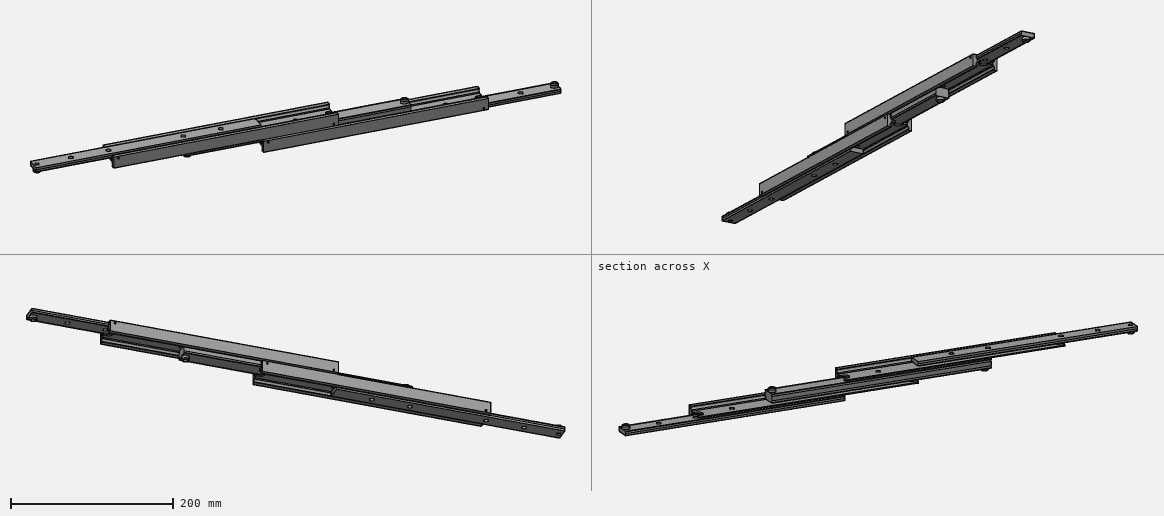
import cadquery as cq
import math


overall_length = 700
overall_height = 36.0
step_count = 7
pull_step = overall_length / step_count
steps_per_member = 3
member_length = steps_per_member * pull_step
hole_pitch = pull_step / 2
channel_level = overall_height / 4

channel_width = 35.0
channel_height = 15.5
channel_opening = 23.0
web_thickness = 2.0

rail_width = 19.0
rail_thickness = 5.95

ball_radius = 2.0
race_half_spacing = 11.0
race_rise = 5.0
outer_race_level = channel_level + race_rise
middle_race_level = channel_level - race_rise

mounting_hole_diameter = 6.0
wall_hole_diameter = 2.0
wall_hole_inset = 6.0
notch_width = 12.0
notch_straight = 4.0
stop_radius = 5.0
stop_height = 5.0
stop_chamfer = 1.5
bore_radius = 2.5
stop_bore_depth = 4.0
back_bore_depth = 2.0
drill_point_angle = 118
point_height = bore_radius / math.tan(math.radians(drill_point_angle / 2))


def block(width, height, level):
    """Full-length bar centred on the slide's centre line at the given height."""
    return cq.Workplane("XY").box(width, member_length, height).translate((0, 0, level))


def ball_races(levels):
    """Round bars along Y whose removal leaves a race on each side at each height."""
    centers = [(side * race_half_spacing, level) for side in (-1, 1) for level in levels]
    return cq.Workplane("XZ").pushPoints(centers).circle(ball_radius).extrude(member_length / 2, both=True)


def vertical_holes(positions):
    """Mounting-hole cutters at the given places along the centre line."""
    points = [(0, y) for y in positions]
    return (
        cq.Workplane("XY").pushPoints(points).circle(mounting_hole_diameter / 2)
        .extrude(overall_height, both=True)
    )


def drilled_bore(depth):
    """Blind-bore cutter that enters downward at z = 0 and ends in a drill point."""
    return (
        cq.Workplane("XZ").lineTo(bore_radius, 0).lineTo(bore_radius, -depth)
        .lineTo(0, -depth - point_height).close().revolve(360, (0, 0), (0, 1))
    )


def upside_down(shape):
    """Half turn about X, which swaps top with bottom and +Y with -Y."""
    return shape.rotate((0, 0, 0), (1, 0, 0), 180)


def add_stop(rail, bottom_level, top_level):
    """Round stop on the rail's upper face at its +Y end, with bores down from its top and up from below."""
    y = member_length / 2 - stop_radius
    stop = cq.Workplane("XY").circle(stop_radius).extrude(stop_height).faces(">Z").chamfer(stop_chamfer)
    stop_bore = drilled_bore(stop_bore_depth).translate((0, y, top_level + stop_height))
    back_bore = upside_down(drilled_bore(back_bore_depth)).translate((0, y, bottom_level))
    return rail.union(stop.translate((0, y, top_level))).cut(stop_bore).cut(back_bore)


def end_notch(end):
    """Round-ended notch cutter through the web at the -Y (-1) or +Y (+1) end."""
    y = end * (member_length / 2 - notch_straight)
    slot = cq.Workplane("XY").rect(notch_width, 2 * notch_straight).extrude(channel_height, both=True)
    slot = slot.translate((0, end * member_length / 2, 0))
    round_end = cq.Workplane("XY").center(0, y).circle(notch_width / 2).extrude(channel_height, both=True)
    return slot.union(round_end)


def wall_hole(end):
    """Cross-hole cutter through both walls: upper race at the -Y end, lower race at the +Y end."""
    y = end * (member_length / 2 - wall_hole_inset)
    return (
        cq.Workplane("YZ").center(y, -end * race_rise).circle(wall_hole_diameter / 2)
        .extrude(channel_width, both=True)
    )


def make_channel():
    """H-section channel centred on the origin."""
    pocket_height = (channel_height - web_thickness) / 2
    pocket_level = (channel_height - pocket_height) / 2
    channel = block(channel_width, channel_height, 0)
    for side in (-1, 1):
        channel = channel.cut(block(channel_opening, pocket_height, side * pocket_level))
    channel = channel.cut(ball_races((-race_rise, race_rise)))
    channel = channel.cut(vertical_holes((-hole_pitch, 2 * hole_pitch)))
    for end in (-1, 1):
        channel = channel.cut(end_notch(end)).cut(wall_hole(end))
    return channel


def make_outer_rail():
    """Lowest rail at its own height, centred in Y, with the stop on top at its +Y end."""
    bottom_level = -overall_height / 2
    rail = block(rail_width, rail_thickness, bottom_level + rail_thickness / 2)
    rail = rail.cut(ball_races((-outer_race_level,)))
    rail = rail.cut(vertical_holes([n * hole_pitch for n in (-2, -1, 1, 2)]))
    return add_stop(rail, bottom_level, bottom_level + rail_thickness)


def make_middle_rail():
    """Double-thickness rail with a stop on top at the +Y end and another below at the -Y end."""
    rail = block(rail_width, 2 * rail_thickness, 0)
    rail = rail.cut(ball_races((-middle_race_level, middle_race_level)))
    for _ in range(2):
        rail = upside_down(add_stop(rail, -rail_thickness, rail_thickness))
    return rail


middle_rail = make_middle_rail()
channels = [
    make_channel().translate((0, -side * pull_step, side * channel_level)).val()
    for side in (-1, 1)
]
lower_rail = make_outer_rail().translate((0, 2 * pull_step, 0))
outer_rails = [lower_rail.val(), upside_down(lower_rail).val()]

result = cq.Compound.makeCompound([middle_rail.val(), *channels, *outer_rails])